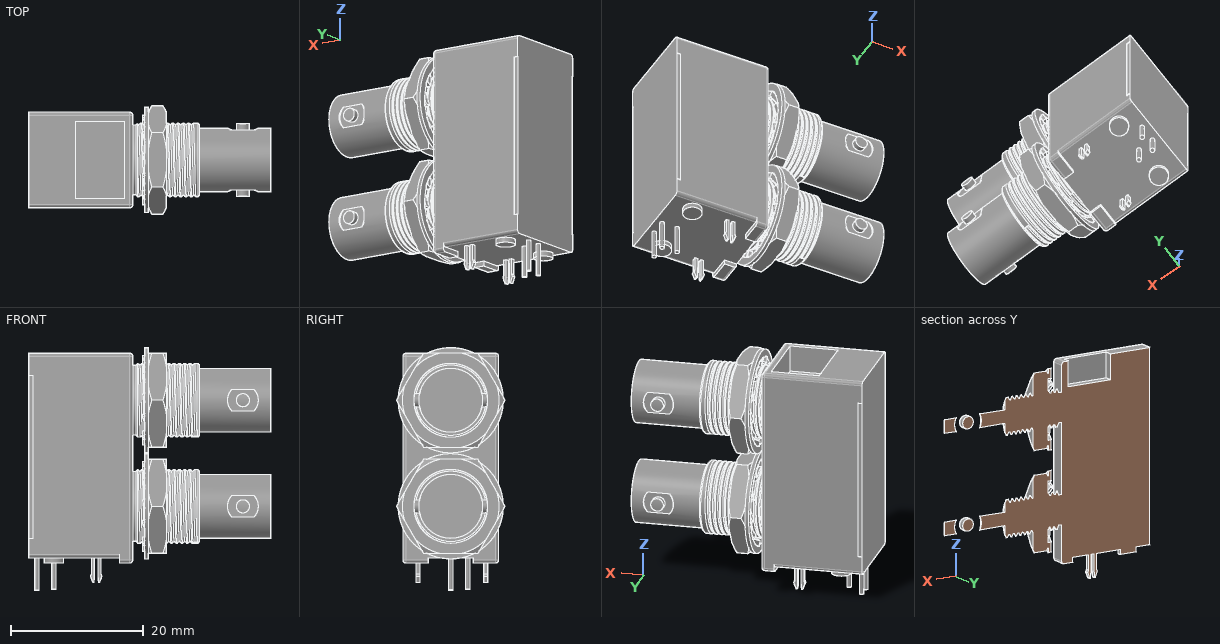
import cadquery as cq

housing_width = 14.47
housing_height = 30.9
housing_length = 15.7
housing_round = 0.5

foot_start = 13.65
foot_height = 0.77
foot_inner_edge = 3.37

pocket_start = 7.05
pocket_end = 14.47
pocket_width = 11.65
pocket_depth = 4.03

relief_length = 0.62
relief_bottom = 2.93
relief_top = 27.55
relief_depth = 0.07

pin_diameter = 0.7
pin_x = 1.25
pin_pitch = 2.55
long_pin_length = 4.87
short_pin_length = 4.73

standoff_diameter = 2.93
standoff_x = pin_x + pin_pitch
standoff_y = 4.95

clip_x = 10.2
clip_left_y = 5.27
clip_right_y = -4.95
clip_width = 0.62
clip_length = 3.7
clip_half_gap = 0.25
clip_half_span = 0.75
clip_tip_half_gap = 0.33
clip_tip_half_span = 0.5
clip_hook_half_span = 0.88
clip_hook_start = 2.38
clip_hook_end = 2.75

jack_pitch = 16.0
upper_jack_z = 23.8
jack_end = 36.52
barrel_radius = 9.65 / 2

neck_radius = 10.55 / 2
thread_radius = 5.55
thread_start = 16.2
thread_end = 25.8
thread_chamfer = 0.25
thread_pitch = 0.795
groove_depth = 0.25
groove_width = 0.62
groove_clearance = 0.1
groove_first_x = 16.37
groove_turns = 11

nut_start = 18.05
nut_length = 2.7
nut_corner_diameter = 16.4
nut_face_radius = 7.3
nut_chamfer_length = 0.5

washer_thickness = 0.6
washer_radius = 15.9 / 2
washer_ring_inner_radius = 6.7
tooth_inner_radius = 11.8 / 2
tooth_root_overlap = 0.07
tooth_count = 12
tooth_width = 2.2
tooth_twist = 18.0

lug_x = 32.3
lug_diameter = 1.98
lug_tip_radius = 5.53
spotface_level = 4.55
spotface_diameter = 4.65


def span_box(x_start, x_end, y_start, y_end, z_start, z_end):
    """Box given by its limits along each axis."""
    return cq.Workplane("XY").box(
        x_end - x_start, y_end - y_start, z_end - z_start, centered=False
    ).translate((x_start, y_start, z_start))


def post(x, y, diameter, length):
    """Round post hanging from the housing floor."""
    return cq.Workplane("XY").center(x, y).circle(diameter / 2).extrude(-length)


def make_housing():
    half_width = housing_width / 2
    front = span_box(foot_start, housing_length, -half_width, half_width, -foot_height, housing_height)
    front = front.edges("|X").fillet(housing_round)
    front = front.faces(">X").edges().fillet(housing_round)
    foot_gap = span_box(
        foot_start, housing_length, -foot_inner_edge, foot_inner_edge, -foot_height, 0
    )
    rear = span_box(0, foot_start, -half_width, half_width, 0, housing_height)
    rear = rear.edges("|X").fillet(housing_round)
    pocket = span_box(
        pocket_start, pocket_end, -pocket_width / 2, pocket_width / 2,
        housing_height - pocket_depth, housing_height,
    )
    housing = front.cut(foot_gap).union(rear).cut(pocket)
    for outer_y in (-half_width, half_width):
        relief = span_box(
            0, relief_length, outer_y - relief_depth, outer_y + relief_depth, relief_bottom, relief_top
        )
        housing = housing.cut(relief)
    return housing


def make_pins():
    long_pin = post(pin_x, 0, pin_diameter, long_pin_length)
    front_pin = post(pin_x + pin_pitch, 0, pin_diameter, short_pin_length)
    side_pin = post(pin_x, pin_pitch, pin_diameter, short_pin_length)
    return long_pin.union(front_pin).union(side_pin)


def make_standoffs():
    left = post(standoff_x, standoff_y, standoff_diameter, foot_height)
    right = post(standoff_x, -standoff_y, standoff_diameter, foot_height)
    return left.union(right)


def make_clip(y):
    """Pair of prongs with a hook on the outside of each tip."""
    prong = (
        cq.Workplane("XZ")
        .polyline([
            (clip_half_gap, 0),
            (clip_half_span, 0),
            (clip_half_span, -clip_hook_start),
            (clip_hook_half_span, -clip_hook_end),
            (clip_tip_half_span, -clip_length),
            (clip_tip_half_gap, -clip_length),
            (clip_half_gap, -clip_hook_end),
        ])
        .close()
        .extrude(clip_width / 2, both=True)
    )
    return prong.union(prong.mirror("YZ")).translate((clip_x, y, 0))


def make_thread():
    """Chamfered sleeve with a right-hand V groove."""
    sleeve = (
        cq.Workplane("XY")
        .workplane(offset=thread_start)
        .circle(thread_radius)
        .extrude(thread_end - thread_start)
        .edges()
        .chamfer(thread_chamfer)
    )
    root_radius = thread_radius - groove_depth
    mouth_radius = thread_radius + groove_clearance
    mouth_half_width = groove_width / 2 * (mouth_radius - root_radius) / groove_depth
    path = cq.Wire.makeHelix(thread_pitch, groove_turns * thread_pitch, root_radius)
    groove = (
        cq.Workplane("XZ")
        .polyline([
            (root_radius, 0),
            (mouth_radius, mouth_half_width),
            (mouth_radius, -mouth_half_width),
        ])
        .close()
        .sweep(cq.Workplane(path), isFrenet=True)
        .translate((0, 0, groove_first_x))
    )
    return sleeve.cut(groove).rotate((0, 0, 0), (0, 1, 0), 90)


def make_nut():
    corner_radius = nut_corner_diameter / 2
    nut_end = nut_start + nut_length
    hexagon = (
        cq.Workplane("YZ").workplane(offset=nut_start).polygon(6, nut_corner_diameter).extrude(nut_length)
    )
    chamfer_envelope = (
        cq.Workplane("XY")
        .polyline([
            (nut_start, 0),
            (nut_start, nut_face_radius),
            (nut_start + nut_chamfer_length, corner_radius),
            (nut_end - nut_chamfer_length, corner_radius),
            (nut_end, nut_face_radius),
            (nut_end, 0),
        ])
        .close()
        .revolve(360, (0, 0, 0), (1, 0, 0))
    )
    return hexagon.intersect(chamfer_envelope)


def make_washer():
    """Flat ring with twisted teeth pointing inwards."""
    washer_start = nut_start - washer_thickness
    washer = (
        cq.Workplane("YZ")
        .workplane(offset=washer_start)
        .circle(washer_radius)
        .circle(washer_ring_inner_radius)
        .extrude(washer_thickness)
    )
    tooth_outer_radius = washer_ring_inner_radius + tooth_root_overlap
    tooth_length = tooth_outer_radius - tooth_inner_radius
    tooth = (
        cq.Workplane("XY")
        .box(washer_thickness, tooth_width, tooth_length)
        .rotate((0, 0, 0), (0, 0, 1), tooth_twist)
        .translate((washer_start + washer_thickness / 2, 0, tooth_inner_radius + tooth_length / 2))
    )
    for index in range(tooth_count):
        washer = washer.union(tooth.rotate((0, 0, 0), (1, 0, 0), index * 360 / tooth_count))
    return washer


def make_barrel():
    """Mating barrel with a round spotface and a bayonet lug on each side."""
    barrel = (
        cq.Workplane("YZ").workplane(offset=thread_end).circle(barrel_radius).extrude(jack_end - thread_end)
    )
    spotface = (
        cq.Workplane("XZ", origin=(lug_x, 0, 0))
        .workplane(offset=spotface_level)
        .circle(spotface_diameter / 2)
        .extrude(barrel_radius - spotface_level)
    )
    lugs = cq.Workplane("XZ").center(lug_x, 0).circle(lug_diameter / 2).extrude(lug_tip_radius, both=True)
    tip_envelope = (
        cq.Workplane("YZ").workplane(offset=thread_end).circle(lug_tip_radius).extrude(jack_end - thread_end)
    )
    lugs = lugs.intersect(tip_envelope)
    return barrel.cut(spotface).cut(spotface.mirror("XZ")).union(lugs)


def make_jack():
    """Complete jack on the X axis."""
    neck = (
        cq.Workplane("YZ")
        .workplane(offset=housing_length)
        .circle(neck_radius)
        .extrude(thread_start - housing_length)
    )
    return neck.union(make_thread()).union(make_nut()).union(make_washer()).union(make_barrel())


result = make_housing().union(make_pins()).union(make_standoffs())
for clip_y in (clip_left_y, clip_right_y):
    result = result.union(make_clip(clip_y))

jack = make_jack()
for jack_z in (upper_jack_z, upper_jack_z - jack_pitch):
    result = result.union(jack.translate((0, 0, jack_z)))